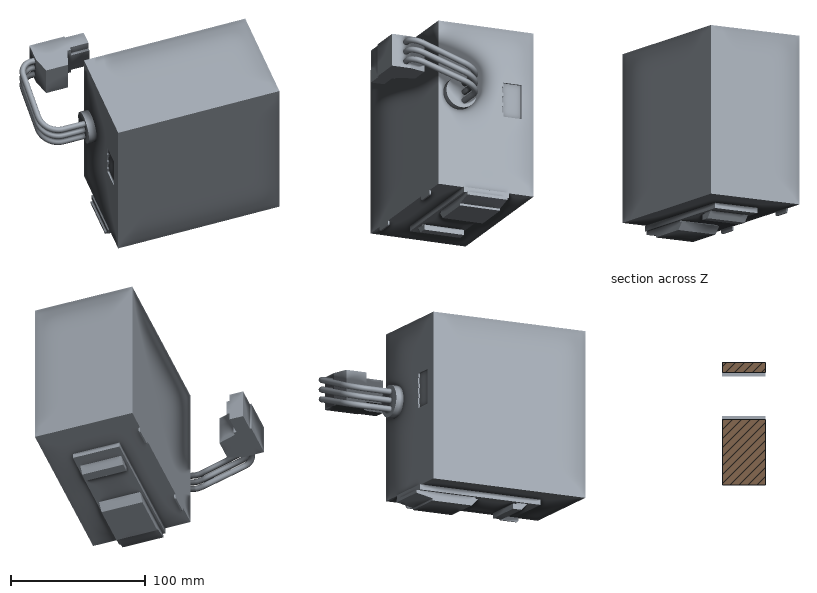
import cadquery as cq
import math

HOUSING_WIDTH = 77.0
HOUSING_DEPTH = 127.0
HOUSING_HEIGHT = 128.0
TOTAL_HEIGHT = 138.6
FRONT_REACH = 40.0
LEFT_REACH = 48.75

WINDOW_CENTRE_Z = 72.9
WINDOW_LEFT = 52.6
WINDOW_WIDTH = 14.7
WINDOW_HEIGHT = 26.6
WINDOW_DEPTH = 1.5
NOTCH_WIDTH = 1.1
NOTCH_HEIGHT = 4.6
NOTCH_PITCH = 7.7

GLAND_RADIUS = 12.2
GLAND_LENGTH = 6.0
GLAND_X = 16.2
GLAND_Z = 72.5

CABLE_DIAMETER = 4.5
GLAND_CABLE_X = 18.4
GLAND_CABLE_PITCH = 6.7
GLAND_BEND_RADIUS = 15.0
PLUG_CABLE_X = -37.6
PLUG_CABLE_Z = 90.4
PLUG_CABLE_PITCH = 7.5
PLUG_BEND_RADIUS = 9.0
CABLE_OVERLAP = 1.0

PLUG_HEIGHT = 25.0
PLUG_CENTRE_Z = 90.6
PLUG_FRONT_Y = -26.0
PLUG_SHOULDER_Y = 1.7
PLUG_TIP_Y = 16.4
PLUG_WAIST_X = -34.6
PLUG_FRONT_CORNER_X = -33.7
PLUG_WIDE_X = -21.0
PLUG_WIDE_FRONT_Y = -22.4
PLUG_WIDE_BACK_Y = -5.3
PLUG_WAIST_Y = -0.9
TIP_INSET = 1.2
TIP_RAIL_WIDTH = 2.3
TIP_RAIL_HEIGHT = PLUG_HEIGHT / 2

FOOT_THICKNESS = 1.2
FOOT_LENGTH = 15.8
FOOT_HEIGHT = 3.4
FOOT_CORNER_RADIUS = 1.5
FOOT_FRONT_ENDS = (16.5, 94.3)

PLATE_WIDTH = 36.8
PLATE_THICKNESS = 4.0
PLATE_FRONT_Y = -1.1
PLATE_BACK_Y = 99.8
LATCH_WIDTH = 32.3
HOOK_BOTTOM_Z = -9.0
GRIP_DEPTH = 1.0
HOOK_FRONT_Y = 78.1
HOOK_THROAT_Y = 81.1
HOOK_BOTTOM_BACK_Y = 85.3
HOOK_BACK_Y = 89.8
LATCH_BACK_Y = 48.8
LATCH_THROAT_Y = 46.5
LATCH_BOTTOM_BACK_Y = 43.4
LATCH_BOTTOM_FRONT_Y = 10.9
LATCH_FRONT_Y = -2.6
LATCH_FRONT_THICKNESS = 2.2


def box(x, y, z):
    """Box given by its (low, high) limits along each axis."""
    size = (x[1] - x[0], y[1] - y[0], z[1] - z[0])
    return cq.Workplane("XY").box(*size, centered=False).translate((x[0], y[0], z[0]))


def make_housing():
    housing = box((0, HOUSING_WIDTH), (0, HOUSING_DEPTH), (0, HOUSING_HEIGHT))
    depth = (0, WINDOW_DEPTH)
    window_low = WINDOW_CENTRE_Z - WINDOW_HEIGHT / 2
    window = box(
        (WINDOW_LEFT, WINDOW_LEFT + WINDOW_WIDTH),
        depth,
        (window_low, window_low + WINDOW_HEIGHT),
    )
    for row in (-1, 0, 1):
        notch_low = WINDOW_CENTRE_Z + row * NOTCH_PITCH - NOTCH_HEIGHT / 2
        notch = box(
            (WINDOW_LEFT - NOTCH_WIDTH, WINDOW_LEFT),
            depth,
            (notch_low, notch_low + NOTCH_HEIGHT),
        )
        window = window.union(notch)
    return housing.cut(window)


def make_gland():
    return (
        cq.Workplane("XZ")
        .center(GLAND_X, GLAND_Z)
        .circle(GLAND_RADIUS)
        .extrude(GLAND_LENGTH)
    )


def make_cable(row):
    """One cable; rows -1, 0 and 1 run from the lowest to the highest."""
    gland_z = GLAND_Z + row * GLAND_CABLE_PITCH
    plug_z = PLUG_CABLE_Z + row * PLUG_CABLE_PITCH
    run_x = PLUG_CABLE_X - GLAND_CABLE_X
    run_z = plug_z - gland_z
    span = math.hypot(run_x, run_z)
    plane = cq.Plane(
        origin=(GLAND_CABLE_X, 0, gland_z),
        xDir=(run_x, 0, run_z),
        normal=(-run_z, 0, run_x),
    )
    front_y = -(FRONT_REACH - CABLE_DIAMETER / 2)
    start_y = -GLAND_LENGTH + CABLE_OVERLAP
    first_bend_y = front_y + GLAND_BEND_RADIUS
    last_bend_y = front_y + PLUG_BEND_RADIUS
    path = (
        cq.Workplane(plane)
        .moveTo(0, start_y)
        .lineTo(0, first_bend_y)
        .tangentArcPoint((GLAND_BEND_RADIUS, front_y), relative=False)
        .lineTo(span - PLUG_BEND_RADIUS, front_y)
        .tangentArcPoint((span, last_bend_y), relative=False)
        .lineTo(span, PLUG_FRONT_Y + CABLE_OVERLAP)
    )
    return (
        cq.Workplane("XZ", origin=(GLAND_CABLE_X, start_y, gland_z))
        .circle(CABLE_DIAMETER / 2)
        .sweep(path)
    )


def make_plug():
    tip_left = -LEFT_REACH + TIP_INSET
    tip_right = PLUG_WAIST_X - TIP_RAIL_WIDTH
    outline = [
        (-LEFT_REACH, PLUG_FRONT_Y),
        (PLUG_FRONT_CORNER_X, PLUG_FRONT_Y),
        (PLUG_WIDE_X, PLUG_WIDE_FRONT_Y),
        (PLUG_WIDE_X, PLUG_WIDE_BACK_Y),
        (PLUG_WAIST_X, PLUG_WAIST_Y),
        (PLUG_WAIST_X, PLUG_SHOULDER_Y),
        (tip_right, PLUG_SHOULDER_Y),
        (tip_right, PLUG_TIP_Y),
        (tip_left, PLUG_TIP_Y),
        (tip_left, PLUG_SHOULDER_Y),
        (-LEFT_REACH, PLUG_SHOULDER_Y),
    ]
    low_z = PLUG_CENTRE_Z - PLUG_HEIGHT / 2
    plug = cq.Workplane("XY", origin=(0, 0, low_z)).polyline(outline).close().extrude(PLUG_HEIGHT)
    rail = box(
        (tip_right, PLUG_WAIST_X),
        (PLUG_SHOULDER_Y, PLUG_TIP_Y),
        (PLUG_CENTRE_Z - TIP_RAIL_HEIGHT / 2, PLUG_CENTRE_Z + TIP_RAIL_HEIGHT / 2),
    )
    return plug.union(rail)


def make_foot(front_end):
    foot = box(
        (0, FOOT_THICKNESS),
        (front_end, front_end + FOOT_LENGTH),
        (-FOOT_HEIGHT, FOOT_HEIGHT),
    )
    return foot.faces("<Z").edges("|X").fillet(FOOT_CORNER_RADIUS)


def extrude_across(outline, width):
    """Extrude a (Y, Z) outline along X, centred on the housing width."""
    left = (HOUSING_WIDTH - width) / 2
    return cq.Workplane("YZ", origin=(left, 0, 0)).polyline(outline).close().extrude(width)


def make_rail_mount():
    plate_bottom = -PLATE_THICKNESS
    lip_top = plate_bottom - GRIP_DEPTH
    latch_bottom = HOUSING_HEIGHT - TOTAL_HEIGHT
    plate = extrude_across(
        [
            (PLATE_FRONT_Y, 0),
            (PLATE_BACK_Y, 0),
            (PLATE_BACK_Y, plate_bottom),
            (PLATE_FRONT_Y, plate_bottom),
        ],
        PLATE_WIDTH,
    )
    hook = extrude_across(
        [
            (HOOK_BACK_Y, plate_bottom),
            (HOOK_BOTTOM_BACK_Y, HOOK_BOTTOM_Z),
            (HOOK_FRONT_Y, HOOK_BOTTOM_Z),
            (HOOK_FRONT_Y, lip_top),
            (HOOK_THROAT_Y, lip_top),
            (HOOK_THROAT_Y, plate_bottom),
        ],
        LATCH_WIDTH,
    )
    latch = extrude_across(
        [
            (LATCH_THROAT_Y, plate_bottom),
            (LATCH_THROAT_Y, lip_top),
            (LATCH_BACK_Y, lip_top),
            (LATCH_BOTTOM_BACK_Y, latch_bottom),
            (LATCH_BOTTOM_FRONT_Y, latch_bottom),
            (LATCH_BOTTOM_FRONT_Y, HOOK_BOTTOM_Z),
            (LATCH_FRONT_Y, plate_bottom - LATCH_FRONT_THICKNESS),
            (LATCH_FRONT_Y, plate_bottom),
        ],
        LATCH_WIDTH,
    )
    return plate.union(hook).union(latch)


result = make_housing().union(make_gland()).union(make_plug()).union(make_rail_mount())
for foot_front_end in FOOT_FRONT_ENDS:
    result = result.union(make_foot(foot_front_end))
for cable_row in (-1, 0, 1):
    result = result.union(make_cable(cable_row))